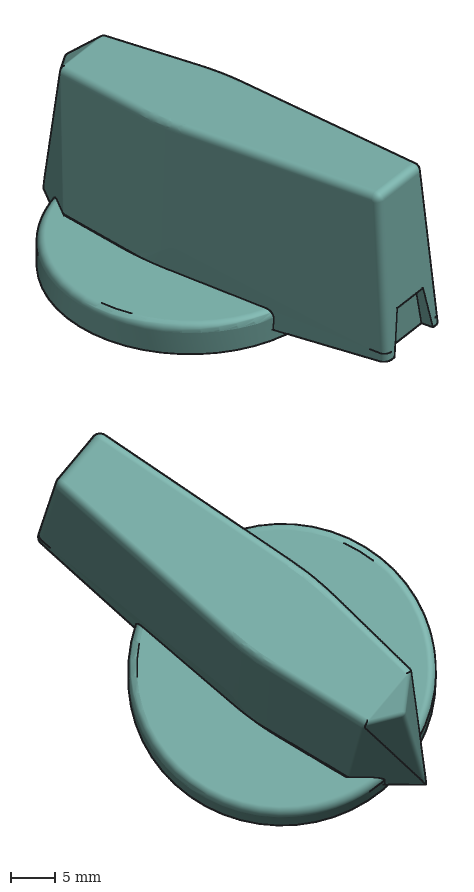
import cadquery as cq
import math

disc_diameter = 35.0
disc_height = 4.0
edge_radius = 1.0

grip_bottom = 1.4
wall_centre_x = 1.0
wall_half_width = 6.95
wall_arc_radius = 35.35
wall_draft = 2.78
front_narrowing = 6.6
wall_rear_narrowing = 3.7

foot_set_back = 0.08
skirt_half_width = wall_half_width - foot_set_back
skirt_centre_x = -0.55
skirt_arc_radius = 39.55
skirt_rear_narrowing = 3.35
skirt_draft = 2.0

top_slope = 2.24
top_front_x = -15.3
top_front_z = 23.2
rear_lean = 5.0
rear_foot_x = 31.75
under_slope = 5.7
under_start_x = 16.35

tip = (-21.0, 0, grip_bottom)
ridge_top = (-17.85, 0, 21.65)
shoulder_top = (top_front_x, 4.3, 22.85)
shoulder_foot = (-13.9, 5.55, disc_height)
pointer_radius = 0.8
shoulder_radius = 0.5

notch_foot_half_width = 3.9
notch_top_half_width = 2.45
notch_top = 8.95
notch_depth = 1.6

blank_front_x = -26.4
blank_rear_x = 36.95
blank_top = 29.0
cutter_size = 158.3

shoulder_reach = 1.3
touching = 0.005


def same(point):
    return point


def mirrored(point):
    return (point[0], -point[1], *point[2:])


def side_outline(centre_x, half_width, radius, rear_narrowing):
    """Plan outline with mirrored sides, each a shallow arc running out into straight lines."""
    front = math.radians(front_narrowing)
    rear = math.radians(rear_narrowing)

    def on_arc(angle):
        return (centre_x + radius * math.sin(angle), half_width - radius * (1 - math.cos(angle)))

    arc_front = on_arc(-front)
    arc_rear = on_arc(rear)
    widest = on_arc(0)
    front_corner = (blank_front_x, arc_front[1] - (arc_front[0] - blank_front_x) * math.tan(front))
    rear_corner = (blank_rear_x, arc_rear[1] - (blank_rear_x - arc_rear[0]) * math.tan(rear))
    return (
        cq.Workplane("XY", origin=(0, 0, disc_height))
        .moveTo(*front_corner)
        .lineTo(*arc_front)
        .threePointArc(on_arc(-front / 2), widest)
        .threePointArc(on_arc(rear / 2), arc_rear)
        .lineTo(*rear_corner)
        .lineTo(*mirrored(rear_corner))
        .lineTo(*mirrored(arc_rear))
        .threePointArc(mirrored(on_arc(rear / 2)), mirrored(widest))
        .threePointArc(mirrored(on_arc(-front / 2)), mirrored(arc_front))
        .lineTo(*mirrored(front_corner))
        .close()
    )


def beyond_plane(point, normal):
    """Large block filling everything beyond a plane, on the side its normal points to."""
    plane = cq.Plane(origin=point, normal=normal)
    return cq.Workplane(plane).rect(cutter_size, cutter_size).extrude(cutter_size)


def beyond_facet(a, b, c):
    """Large block in front of the plane through three points."""
    start = cq.Vector(*a)
    normal = (cq.Vector(*b) - start).cross(cq.Vector(*c) - start)
    return beyond_plane(a, normal if normal.x < 0 else -normal)


def tilted(slope):
    """Sine and cosine of a slope in degrees."""
    angle = math.radians(slope)
    return math.sin(angle), math.cos(angle)


def cut_rear(body):
    sine, cosine = tilted(rear_lean)
    return body.cut(beyond_plane((rear_foot_x, 0, disc_height), (cosine, 0, sine)))


def skirt_outline():
    return side_outline(skirt_centre_x, skirt_half_width, skirt_arc_radius, skirt_rear_narrowing)


def cut_top(body):
    sine, cosine = tilted(top_slope)
    return body.cut(beyond_plane((top_front_x, 0, top_front_z), (-sine, 0, cosine)))


def make_walls():
    """Drafted walls above the disc, with rounded top and rear edges and the foot trimmed upright."""
    outline = side_outline(wall_centre_x, wall_half_width, wall_arc_radius, wall_rear_narrowing)
    walls = cut_rear(outline.extrude(blank_top - disc_height, taper=wall_draft))
    walls = cut_top(walls)
    walls = walls.faces(">Z or >X").edges("not(<Z or <X)").fillet(edge_radius)
    return walls.intersect(skirt_outline().extrude(blank_top - disc_height))


def make_skirt():
    """Foot of the grip below the disc's top face, flared downwards, with a rising underside."""
    skirt = cut_rear(skirt_outline().extrude(grip_bottom - disc_height, taper=-skirt_draft))
    skirt = skirt.faces(">X").edges("not(<Z or >Z)").fillet(edge_radius)
    sine, cosine = tilted(under_slope)
    return skirt.cut(beyond_plane((under_start_x, 0, grip_bottom), (sine, 0, -cosine)))


def cut_shoulders(body):
    """Taper the front to an upright wedge."""
    for side in (same, mirrored):
        body = body.cut(beyond_facet(side(tip), side(shoulder_top), side(shoulder_foot)))
    return body


def round_shoulders(walls):
    """Round the edges where the wedge runs into the walls and their rounded top edges."""
    around_shoulders = cq.selectors.BoxSelector(
        (top_front_x - shoulder_reach, -wall_half_width, disc_height + shoulder_reach),
        (top_front_x + shoulder_reach, wall_half_width, blank_top),
    )
    return walls.edges(around_shoulders).fillet(shoulder_radius)


def make_nose():
    """Large block bounded in front by the brow below the top face and by the two ridge facets."""
    nose = cut_top(cq.Workplane("XY").box(cutter_size, cutter_size, cutter_size))
    brow_end = (top_front_x, shoulder_top[1], top_front_z)
    nose = nose.cut(beyond_facet(brow_end, mirrored(brow_end), ridge_top))
    for side in (same, mirrored):
        nose = nose.cut(beyond_facet(side(tip), side(shoulder_top), side(ridge_top)))
    corner = cq.Vertex.makeVertex(*ridge_top)
    corner_edges = [edge for edge in nose.edges().vals() if edge.distance(corner) < touching]
    nose = nose.newObject(corner_edges).fillet(pointer_radius)
    brow_middle = (top_front_x, 0, top_front_z)
    return nose.edges(cq.selectors.NearestToPointSelector(brow_middle)).fillet(shoulder_radius)


def cut_notch(grip):
    notch = (
        cq.Workplane("YZ", origin=(rear_foot_x - notch_depth, 0, 0))
        .moveTo(-notch_foot_half_width, grip_bottom)
        .lineTo(-notch_top_half_width, notch_top)
        .lineTo(notch_top_half_width, notch_top)
        .lineTo(notch_foot_half_width, grip_bottom)
        .close()
        .extrude(cutter_size)
    )
    return grip.cut(notch)


def make_grip():
    walls = round_shoulders(cut_shoulders(make_walls()))
    skirt = cut_shoulders(make_skirt())
    return cut_notch(walls.union(skirt).intersect(make_nose()))


def make_disc(grip):
    """Round disc with a rounded rim and a recess that fits the foot of the grip."""
    disc = cq.Workplane("XY").circle(disc_diameter / 2).extrude(disc_height)
    return disc.edges(">Z").fillet(edge_radius).cut(grip)


grip = make_grip()
disc = make_disc(grip)
result = cq.Compound.makeCompound([disc.val(), grip.val()])